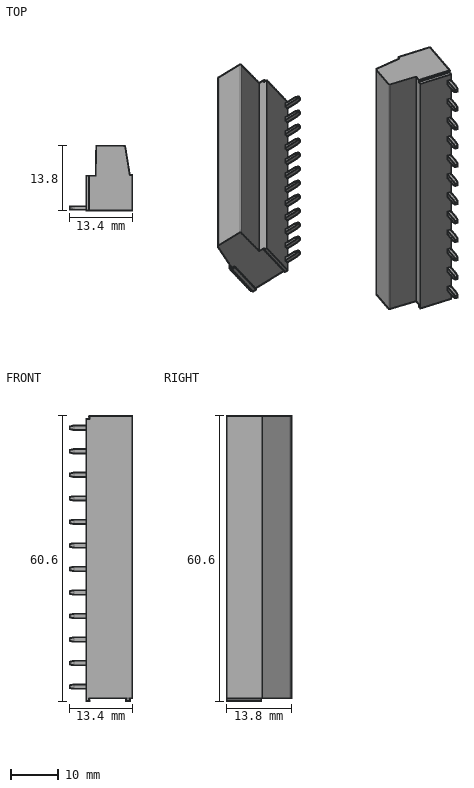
import cadquery as cq

pole_count = 12
pitch = 5.0
body_height = pole_count * pitch

base_width = 9.85
pin_side_depth = 7.4
far_side_depth = 7.6
total_depth = 13.8
tower_left_bottom = 2.0
tower_left_top = 2.12
tower_right_bottom = 9.3
tower_right_top = 8.3
tower_left_round = 0.25
tower_right_round = 0.4

joint_height = 0.6
joint_flare_height = 0.42
joint_flare = 0.17
edge_joint_neck = 0.58
edge_joint_lip = 0.12
rail_neck_width = 0.6
rail_center = 8.9

pin_length = 3.5
pin_width = 1.0
pin_thickness = 0.8
pin_center_y = 0.55
pin_tip_length = 0.9
pin_tip_width = 0.6
pin_tip_thickness = 0.65


def make_body():
    """Extruded base with a tapered tower that has rounded outer corners."""
    outline = [
        (0, 0),
        (base_width, 0),
        (base_width, far_side_depth),
        (tower_right_bottom, far_side_depth),
        (tower_right_top, total_depth),
        (tower_left_top, total_depth),
        (tower_left_bottom, pin_side_depth),
        (0, pin_side_depth),
    ]
    body = cq.Workplane("XY").polyline(outline).close().extrude(body_height)
    body = body.faces(">Y").edges("<X").edges("|Z").fillet(tower_left_round)
    return body.faces(">Y").edges(">X").edges("|Z").fillet(tower_right_round)


def extrude_along_y(profile_xz):
    """Prism from an XZ profile, running from the front face to the base's rear."""
    return cq.Workplane("XZ").polyline(profile_xz).close().extrude(-pin_side_depth)


def edge_joint(root_z):
    """Half dovetail on the pin-face edge below root_z, its root edge chamfered."""
    edge_joint_flare = edge_joint_neck + joint_flare
    return extrude_along_y([
        (0, root_z),
        (edge_joint_neck + edge_joint_lip, root_z),
        (edge_joint_neck, root_z - edge_joint_lip),
        (edge_joint_flare, root_z - joint_flare_height),
        (edge_joint_flare, root_z - joint_height),
        (0, root_z - joint_height),
    ])


def bottom_rail():
    """Full dovetail rail hanging from the bottom face near the far side."""
    half_neck = rail_neck_width / 2
    half_flare = half_neck + joint_flare
    return extrude_along_y([
        (rail_center - half_neck, 0),
        (rail_center + half_neck, 0),
        (rail_center + half_flare, -joint_flare_height),
        (rail_center + half_flare, -joint_height),
        (rail_center - half_flare, -joint_height),
        (rail_center - half_flare, -joint_flare_height),
    ])


def make_pin(center_z):
    """Rectangular pin with a tip that tapers on all four sides."""
    shank_length = pin_length - pin_tip_length
    shank_end = cq.Workplane("YZ", origin=(-shank_length, pin_center_y, center_z))
    shank = shank_end.rect(pin_thickness, pin_width).extrude(shank_length)
    tip = (
        shank_end.rect(pin_thickness, pin_width)
        .workplane(offset=-pin_tip_length)
        .rect(pin_tip_thickness, pin_tip_width)
        .loft(combine=True)
    )
    return shank.union(tip)


result = make_body()
result = result.cut(edge_joint(body_height))
result = result.union(edge_joint(0))
result = result.union(bottom_rail())
for pole in range(pole_count):
    result = result.union(make_pin(pitch / 2 + pole * pitch))